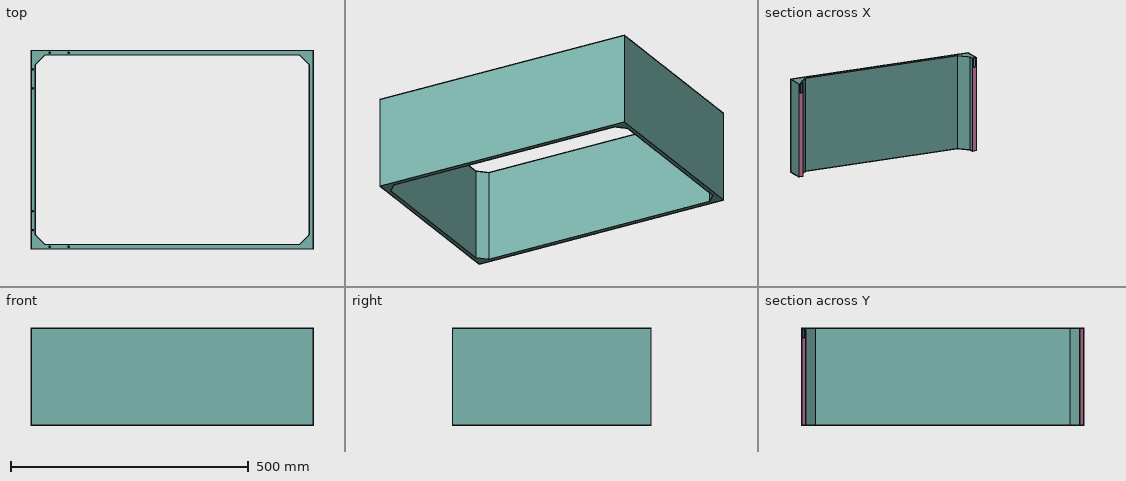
import cadquery as cq

length = 594.0
width = 418.0
height = 205.0
end_wall = 9.0
side_wall = 10.0
corner_leg = 20.0

hole_diameter = 3.0
hole_depth = 20.0
first_hole_offset = 30.0
hole_pitch = 40.0
holes_per_group = 2
hole_line_inset = 5.0

inner_length = length - 2 * end_wall
inner_width = width - 2 * side_wall


def make_frame():
    """Rectangular tube whose inner vertical corners are filled at 45 degrees."""
    body = cq.Workplane("XY").box(length, width, height, centered=(True, True, False))
    opening = (
        cq.Workplane("XY")
        .box(inner_length, inner_width, height, centered=(True, True, False))
        .edges("|Z")
        .chamfer(corner_leg)
    )
    return body.cut(opening)


def rim_hole_centres():
    """Hole centres along the -X, -Y and +Y walls."""
    end_wall_line = -(inner_length / 2 + hole_line_inset)
    side_wall_line = inner_width / 2 + hole_line_inset
    centres = []
    for side in (-1, 1):
        for index in range(holes_per_group):
            offset = first_hole_offset + index * hole_pitch
            centres.append((-inner_length / 2 + offset, side * side_wall_line))
            centres.append((end_wall_line, side * (inner_width / 2 - offset)))
    return centres


def make_rim_holes():
    """Cylinders reaching down from the top rim, to be cut from the frame."""
    return (
        cq.Workplane("XY", origin=(0, 0, height))
        .pushPoints(rim_hole_centres())
        .circle(hole_diameter / 2)
        .extrude(-hole_depth)
    )


result = make_frame().cut(make_rim_holes())